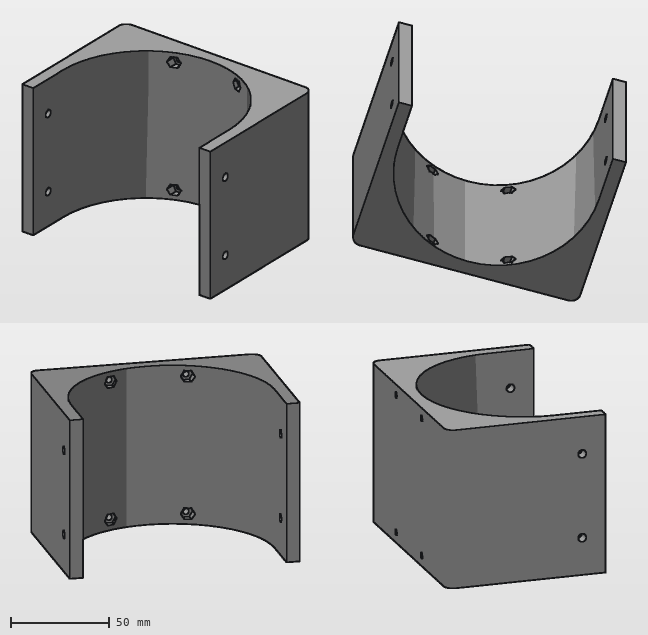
import cadquery as cq

width = 121.0
depth = 85.5
height = 85.0
wall = 7.0
corner_radius = 5.0

bore_radius = width / 2 - wall
back_y = depth / 2
bore_center_y = back_y - wall - bore_radius

back_hole_diameter = 3.1
back_hole_spacing_x = 40.5
back_hole_spacing_z = 73.6
nut_across_corners = 6.9
nut_floor_to_back = 7.0

side_hole_diameter = 4.2
side_hole_spacing_z = 45.0
side_hole_to_front = 12.6


def make_body():
    block = cq.Workplane("XY").box(width, depth, height)
    return block.edges("|Z and >Y").fillet(corner_radius)


def make_cradle():
    front_y = -depth / 2
    return (
        cq.Workplane("XY", origin=(0, 0, -height / 2))
        .moveTo(-bore_radius, front_y)
        .lineTo(-bore_radius, bore_center_y)
        .threePointArc((0, bore_center_y + bore_radius), (bore_radius, bore_center_y))
        .lineTo(bore_radius, front_y)
        .close()
        .extrude(height)
    )


def back_hole_points(y):
    """Return points of the back hole pattern on an XZ plane at the given y."""
    return (
        cq.Workplane("XZ", origin=(0, y, 0))
        .rarray(back_hole_spacing_x, back_hole_spacing_z, 2, 2)
    )


def make_back_holes():
    return back_hole_points(back_y).circle(back_hole_diameter / 2).extrude(depth)


def make_nut_pockets():
    pocket_floor_y = back_y - nut_floor_to_back
    return back_hole_points(pocket_floor_y).polygon(6, nut_across_corners).extrude(bore_radius)


def make_side_holes():
    return (
        cq.Workplane("YZ", origin=(0, side_hole_to_front - depth / 2, 0))
        .rarray(1.2, side_hole_spacing_z, 1, 2)
        .circle(side_hole_diameter / 2)
        .extrude(width / 2, both=True)
    )


result = (
    make_body()
    .cut(make_cradle())
    .cut(make_back_holes())
    .cut(make_nut_pockets())
    .cut(make_side_holes())
)